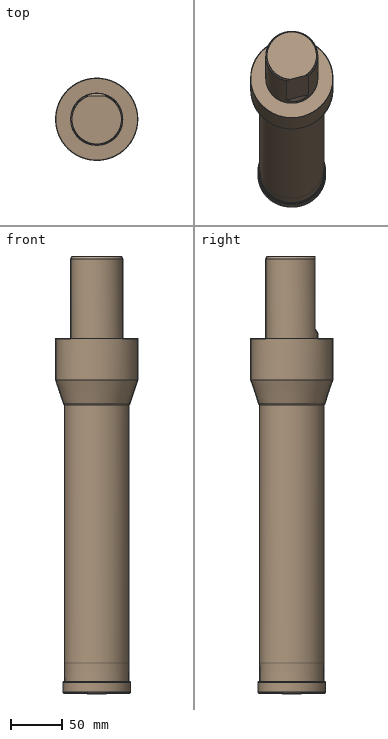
import cadquery as cq

TOTAL_LENGTH = 426.0

HEAD_DIAMETER = 66.0
HEAD_TOP = 12.5
HEAD_TOP_CHAMFER = 1.0
HEAD_BOTTOM = 2.0
FACE_DIAMETER = 64.0
FACE_HEIGHT = 1.0
TIP_DIAMETER = 18.0

NECK_DIAMETER = 62.5
NECK_TOP = 30.2
TUBE_DIAMETER = 63.0
TUBE_TOP = 281.5
CONE_BOTTOM_DIAMETER = 64.8
CONE_BOTTOM = 283.0
FLANGE_DIAMETER = 80.0
FLANGE_HEIGHT = 40.0
FLANGE_TOP = 346.0
FLANGE_BOTTOM = FLANGE_TOP - FLANGE_HEIGHT

SHANK_DIAMETER = 50.5
SHANK_CHAMFER = 1.3
SHANK_CHAMFER_HEIGHT = 2.5
FLAT_DEPTH = 2.5
FLAT_BOTTOM = FLANGE_TOP + 5.0
FLAT_RUNOUT = 4.3


def revolve_profile(profile):
    """Revolve (diameter, height) pairs, listed bottom to top, about Z."""
    points = [(diameter / 2, height) for diameter, height in profile]
    outline = [(0, profile[0][1]), *points, (0, profile[-1][1])]
    return cq.Workplane("XZ").polyline(outline).close().revolve(360, (0, 0, 0), (0, 1, 0))


def make_cutting_head():
    return revolve_profile([
        (TIP_DIAMETER, 0),
        (TIP_DIAMETER, FACE_HEIGHT),
        (FACE_DIAMETER, FACE_HEIGHT),
        (HEAD_DIAMETER, HEAD_BOTTOM),
        (HEAD_DIAMETER, HEAD_TOP - HEAD_TOP_CHAMFER),
        (HEAD_DIAMETER - 2 * HEAD_TOP_CHAMFER, HEAD_TOP),
    ])


def make_flat_cutter():
    """Material removed for the clamping flat, with a sloped run-out at its lower end."""
    flat_y = SHANK_DIAMETER / 2 - FLAT_DEPTH
    outer_y = SHANK_DIAMETER / 2
    return (
        cq.Workplane("YZ")
        .polyline([
            (flat_y, TOTAL_LENGTH),
            (flat_y, FLAT_BOTTOM + FLAT_RUNOUT),
            (outer_y, FLAT_BOTTOM),
            (outer_y, TOTAL_LENGTH),
        ])
        .close()
        .extrude(SHANK_DIAMETER / 2, both=True)
    )


def make_holder():
    body = revolve_profile([
        (NECK_DIAMETER, HEAD_TOP),
        (TUBE_DIAMETER, NECK_TOP),
        (TUBE_DIAMETER, TUBE_TOP),
        (CONE_BOTTOM_DIAMETER, CONE_BOTTOM),
        (FLANGE_DIAMETER, FLANGE_BOTTOM),
        (FLANGE_DIAMETER, FLANGE_TOP),
        (SHANK_DIAMETER, FLANGE_TOP),
        (SHANK_DIAMETER, TOTAL_LENGTH - SHANK_CHAMFER_HEIGHT),
        (SHANK_DIAMETER - 2 * SHANK_CHAMFER, TOTAL_LENGTH),
    ])
    return body.cut(make_flat_cutter())


cutting_head = make_cutting_head()
holder = make_holder()

result = cq.Compound.makeCompound([cutting_head.val(), holder.val()])